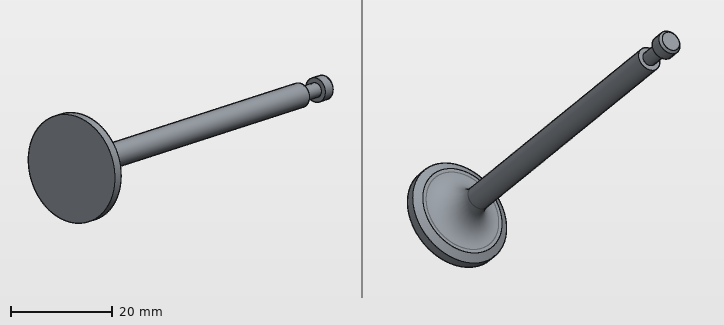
import cadquery as cq
import math


overall_length = 80.0
head_diameter = 22.0
stem_diameter = 5.0
rim_thickness = 2.0
seat_height = 1.0
seat_angle = 30.0
neck_fillet_radius = 6.0
groove_diameter = 3.0
groove_length = 5.0
tip_length = 3.0
tip_chamfer = 0.5

head_radius = head_diameter / 2
stem_radius = stem_diameter / 2
groove_radius = groove_diameter / 2
seat_top_radius = head_radius - seat_height / math.tan(math.radians(seat_angle))
fillet_outer_radius = stem_radius + neck_fillet_radius

head_back = rim_thickness + seat_height
stem_start = head_back + neck_fillet_radius
groove_end = overall_length - tip_length
groove_start = groove_end - groove_length

fillet_mid_offset = neck_fillet_radius * math.cos(math.radians(45))
fillet_middle = (
    fillet_outer_radius - fillet_mid_offset,
    stem_start - fillet_mid_offset,
)


def valve_profile():
    """Half section of the valve: radius along X, length along Y."""
    return (
        cq.Workplane("XY")
        .moveTo(0, 0)
        .lineTo(head_radius, 0)
        .lineTo(head_radius, rim_thickness)
        .lineTo(seat_top_radius, head_back)
        .lineTo(fillet_outer_radius, head_back)
        .threePointArc(fillet_middle, (stem_radius, stem_start))
        .lineTo(stem_radius, groove_start)
        .lineTo(groove_radius, groove_start)
        .lineTo(groove_radius, groove_end)
        .lineTo(stem_radius, groove_end)
        .lineTo(stem_radius, overall_length - tip_chamfer)
        .lineTo(stem_radius - tip_chamfer, overall_length)
        .lineTo(0, overall_length)
        .close()
    )


result = valve_profile().revolve(360, (0, 0, 0), (0, 1, 0))